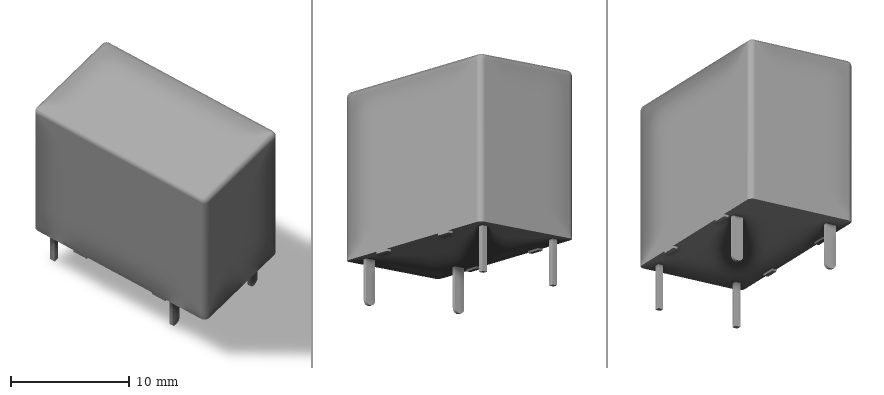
import cadquery as cq

length = 18.2
width = 10.21
total_height = 18.7
pin_length = 4.0
case_height = total_height - pin_length
case_radius = 0.49

foot_length = 1.38
foot_depth = 0.43
foot_height = 0.19
foot_offset_x = 4.13

pin_row_offset_y = 3.81
coil_pin_x = -7.85
coil_pin_size = 0.49
front_contact_pin_x = 4.85
back_contact_pin_x = 7.39
contact_pin_thickness = 0.32
contact_pin_width = 1.0
contact_tip_radius = 0.45

overlap = 0.19


def make_case():
    """Box rounded on its vertical and top edges, with a flat underside."""
    case = cq.Workplane("XY").box(length, width, case_height, centered=(True, True, False))
    return case.edges("|Z or >Z").fillet(case_radius)


def make_hanging_block(size_x, size_y, drop, x, y):
    """Block that hangs below the case underside, centred at (x, y)."""
    return (
        cq.Workplane("XY")
        .workplane(offset=-drop)
        .center(x, y)
        .box(size_x, size_y, drop + overlap, centered=(True, True, False))
    )


def make_foot(x, side):
    """Standoff foot flush with a long side of the case."""
    y = side * (width - foot_depth) / 2
    return make_hanging_block(foot_length, foot_depth, foot_height, x, y)


def make_coil_pin(y):
    """Plain square pin."""
    return make_hanging_block(coil_pin_size, coil_pin_size, pin_length, coil_pin_x, y)


def make_contact_pin(x, y):
    """Flat pin with its tip rounded across the width."""
    pin = make_hanging_block(contact_pin_thickness, contact_pin_width, pin_length, x, y)
    return pin.edges("|X and <Z").fillet(contact_tip_radius)


result = make_case()
for side in (-1, 1):
    for foot_x in (-foot_offset_x, foot_offset_x):
        result = result.union(make_foot(foot_x, side))

for side, contact_x in ((-1, front_contact_pin_x), (1, back_contact_pin_x)):
    row_y = side * pin_row_offset_y
    result = result.union(make_coil_pin(row_y))
    result = result.union(make_contact_pin(contact_x, row_y))